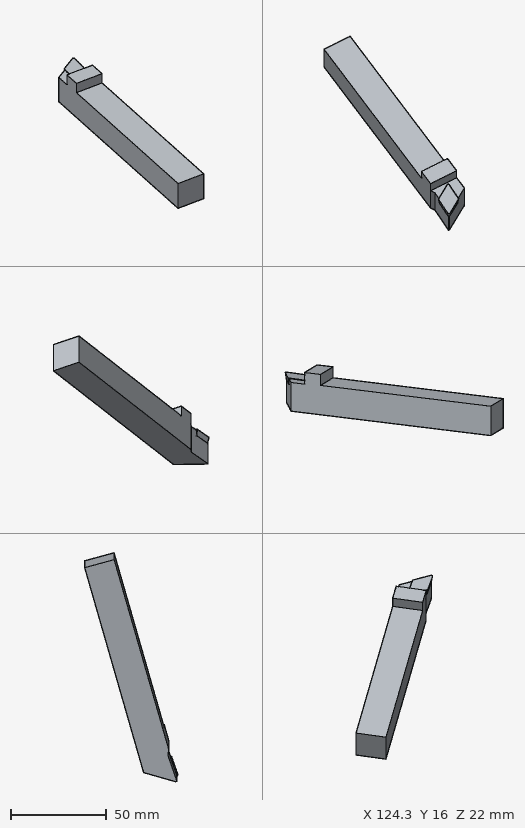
import cadquery as cq
import math

length = 124.3
shank = 16.0

block_start = 17.8
block_end = 27.0
total_height = 22.0

head_drop = 0.4
head_top = shank - head_drop
head_inset = 0.5
head_front = 0.7
relief_start = 15.5

nose_angle = 55.0
rear_tilt = 3.0
front_tilt = nose_angle + rear_tilt
edge_length = 11.5
nose_radius = 0.7
insert_thickness = 3.7
clearance_angle = 7.0


def along(angle, distance):
    """Offset by a distance at an angle below the X axis."""
    return cq.Vector(
        distance * math.cos(math.radians(angle)),
        -distance * math.sin(math.radians(angle)),
    )


nose_center = cq.Vector(nose_radius, shank - nose_radius)
nose_bisector = (front_tilt + rear_tilt) / 2
nose_sine = math.sin(math.radians(nose_angle / 2))
sharp_nose = nose_center - along(nose_bisector, nose_radius / nose_sine)


def make_sharp_insert():
    """Sharp-cornered rhombus tapering downward from its cutting edges."""
    rear_corner = sharp_nose + along(rear_tilt, edge_length)
    front_corner = sharp_nose + along(front_tilt, edge_length)
    far_corner = rear_corner + along(front_tilt, edge_length)
    outline = [sharp_nose, rear_corner, far_corner, front_corner]
    return (
        cq.Workplane("XY")
        .workplane(offset=shank)
        .polyline([(corner.x, corner.y) for corner in outline])
        .close()
        .extrude(-insert_thickness, taper=clearance_angle)
    )


def make_insert():
    """Rhombic insert with its two acute corners rounded."""
    sharp_insert = make_sharp_insert()
    corner_edges = sharp_insert.faces("not(|Z)").edges("not(#Z)")
    return corner_edges.edges("<X or >X").fillet(nose_radius)


def make_holder():
    """Shank, clamp block and angled head, with a sharp-cornered seat for the insert."""
    head_nose = sharp_nose + along(nose_bisector, head_inset / nose_sine)
    front_run = head_nose.y / math.tan(math.radians(front_tilt))
    relief_y = head_nose.y - (relief_start - head_nose.x) * math.tan(math.radians(rear_tilt))
    head = (
        cq.Workplane("XY")
        .moveTo(head_nose.x + front_run, 0)
        .lineTo(block_start, 0)
        .lineTo(block_start, shank)
        .lineTo(relief_start, relief_y)
        .lineTo(head_nose.x, head_nose.y)
        .close()
        .extrude(head_top)
    )
    nose_trim = cq.Workplane("XY").box(2 * head_front, 2 * length, 2 * length)
    head = head.cut(nose_trim)
    body = (
        cq.Workplane("XZ")
        .moveTo(block_start, 0)
        .lineTo(length, 0)
        .lineTo(length, shank)
        .lineTo(block_end, shank)
        .lineTo(block_end, total_height)
        .lineTo(block_start, total_height)
        .close()
        .extrude(-shank)
    )
    return body.union(head).cut(make_sharp_insert())


insert = make_insert()
holder = make_holder()
result = cq.Compound.makeCompound([holder.val(), insert.val()])